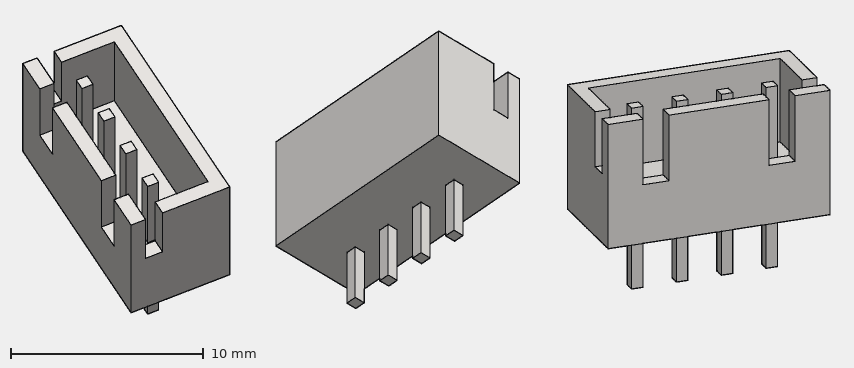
import cadquery as cq

LENGTH = 12.4
WIDTH = 5.75
HEIGHT = 7.0
WALL = 0.84
FLOOR = 2.31
FRONT_Y = -WIDTH / 2

SLOT_WIDTH = 1.45
SLOT_DEPTH = 3.7
SLOT_OFFSET = 3.52

NOTCH_WIDTH = 0.99
NOTCH_DEPTH = 3.1

PIN_COUNT = 4
PIN_PITCH = 2.5
PIN_SIZE = 0.65
PIN_TAIL = 3.4
PIN_TOP_GAP = 0.21
PIN_Y = FRONT_Y + 2.37
PIN_LENGTH = PIN_TAIL + HEIGHT - PIN_TOP_GAP

PIN_CENTRES = [(i - (PIN_COUNT - 1) / 2) * PIN_PITCH for i in range(PIN_COUNT)]


def block(x_size, y_size, z_size, x_centre, y_min, z_min):
    """Box centred at x_centre, growing in +Y and +Z from y_min and z_min."""
    return cq.Workplane("XY").box(x_size, y_size, z_size, centered=(True, False, False)).translate(
        (x_centre, y_min, z_min)
    )


def make_pin(x_centre):
    """Straight square pin running through the housing floor."""
    return block(PIN_SIZE, PIN_SIZE, PIN_LENGTH, x_centre, PIN_Y - PIN_SIZE / 2, -PIN_TAIL)


def make_housing(pins):
    """Open-topped shroud with slots, notches and fitted pin holes."""
    body = block(LENGTH, WIDTH, HEIGHT, 0, FRONT_Y, 0)

    body = body.cut(block(LENGTH - 2 * WALL, WIDTH - 2 * WALL, HEIGHT - FLOOR, 0, FRONT_Y + WALL, FLOOR))

    for side in (-1, 1):
        body = body.cut(
            block(SLOT_WIDTH, WALL, SLOT_DEPTH, side * SLOT_OFFSET, FRONT_Y, HEIGHT - SLOT_DEPTH)
        )

    body = body.cut(block(LENGTH, NOTCH_WIDTH, NOTCH_DEPTH, 0, FRONT_Y + WALL, HEIGHT - NOTCH_DEPTH))

    for pin in pins:
        body = body.cut(pin)
    return body


pins = [make_pin(x_centre) for x_centre in PIN_CENTRES]
housing = make_housing(pins)

result = cq.Compound.makeCompound([housing.solids().val(), *[pin.val() for pin in pins]])